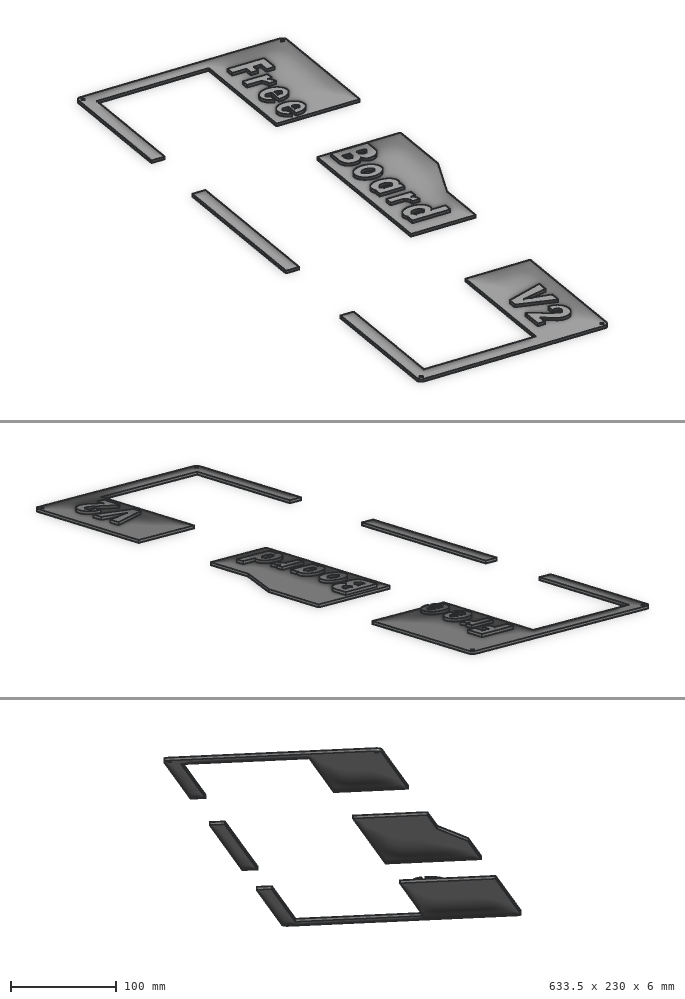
import cadquery as cq

FRAME_LENGTH = 633.54
FRAME_WIDTH = 230.0
PLATE_THICKNESS = 3.0
LETTER_HEIGHT = 3.0

LEFT_LENGTH = 139.5
MIDDLE_START = 214.5
MIDDLE_LENGTH = 173.0
MIDDLE_END = MIDDLE_START + MIDDLE_LENGTH
RIGHT_START = 488.0

FRONT_RAIL_WIDTH = 14.5
WINDOW_BACK = 138.0
LEFT_ARM_WIDTH = 14.5
RIGHT_ARM_WIDTH = 16.0

LOW_BACK = 209.5
SLOPE_START = 284.0
SLOPE_END = 335.0

CORNER_RADIUS = 5.0
HOLE_DIAMETER = 3.4
HOLE_INSET = 5.0

BASELINE_Y = 149.7
CAP_HEIGHT = 40.5
LOWER_CASE_HEIGHT = 27.5
STEM_WIDTH = 9.0
THIN_STEM_WIDTH = 8.0
ASCENDER_HEIGHT = 42.0
R_WIDTH = 16.0
F_WIDTH = 19.5

FREE_STARTS = (29.5, 57.7, 81.2, 112.8)
BOARD_STARTS = (220.0, 255.0, 287.0, 322.3, 346.0)
V2_STARTS = (537.0, 579.0)

ROUND_CENTER_Y = 13.3
ROUND_HALF_HEIGHT = 14.9
ROUND_HALF_WIDTH = 11.6
BOWL_HALF_WIDTH = 10.5
COUNTER_HALF_WIDTH = 4.2
COUNTER_HALF_HEIGHT = 6.8
BOWL_COUNTER_X = 12.0
BOWL_STEM_X = 15.5


def block(x_start, x_end, y_start, y_end, height):
    """Box standing on Z = 0."""
    return cq.Workplane("XY").box(
        x_end - x_start, y_end - y_start, height, centered=False
    ).translate((x_start, y_start, 0))


def oval(center_x, center_y, half_width, half_height):
    """Elliptical block of letter height."""
    return (
        cq.Workplane("XY").center(center_x, center_y)
        .ellipse(half_width, half_height).extrude(LETTER_HEIGHT)
    )


def letter_f():
    outline = [
        (0, 0), (STEM_WIDTH, 0), (STEM_WIDTH, 15.5), (17.5, 15.5), (17.5, 23.5), (STEM_WIDTH, 23.5),
        (STEM_WIDTH, 31.5), (F_WIDTH, 31.5), (F_WIDTH, CAP_HEIGHT), (0, CAP_HEIGHT),
    ]
    return cq.Workplane("XY").polyline(outline).close().extrude(LETTER_HEIGHT)


def letter_r():
    return (
        cq.Workplane("XY").lineTo(THIN_STEM_WIDTH, 0).lineTo(THIN_STEM_WIDTH, 15)
        .threePointArc((11, 18.2), (R_WIDTH, 19))
        .lineTo(R_WIDTH, LOWER_CASE_HEIGHT)
        .threePointArc((11.5, 26), (THIN_STEM_WIDTH, 23))
        .lineTo(THIN_STEM_WIDTH, LOWER_CASE_HEIGHT).lineTo(0, LOWER_CASE_HEIGHT)
        .close().extrude(LETTER_HEIGHT)
    )


def letter_e():
    eye = (
        cq.Workplane("XY").moveTo(9, 15.5).lineTo(15.2, 15.5).lineTo(15.2, 18.5)
        .threePointArc((12.1, 22), (9, 18.5)).close().extrude(LETTER_HEIGHT)
    )
    mouth = (
        cq.Workplane("XY").moveTo(9, 12).lineTo(9, 7)
        .threePointArc((12, 4), (15, 8)).lineTo(26, 8).lineTo(26, 12)
        .close().extrude(LETTER_HEIGHT)
    )
    body = oval(ROUND_HALF_WIDTH, ROUND_CENTER_Y, ROUND_HALF_WIDTH, ROUND_HALF_HEIGHT)
    return body.cut(eye).cut(mouth)


def letter_b():
    body = (
        cq.Workplane("XY").lineTo(15, 0)
        .threePointArc((23, 3), (26, 11)).threePointArc((24.8, 17), (20.5, 20.7))
        .threePointArc((24.6, 24), (26, 29.5)).threePointArc((22, 37.5), (12, CAP_HEIGHT))
        .lineTo(0, CAP_HEIGHT).close().extrude(LETTER_HEIGHT)
    )
    upper_counter = (
        cq.Workplane("XY").moveTo(STEM_WIDTH, 23.5).threePointArc((16, 28), (STEM_WIDTH, 32))
        .close().extrude(LETTER_HEIGHT)
    )
    lower_counter = (
        cq.Workplane("XY").moveTo(STEM_WIDTH, 7.5).lineTo(13, 7.5)
        .threePointArc((17.5, 11.5), (13, 15.5)).lineTo(STEM_WIDTH, 15.5)
        .close().extrude(LETTER_HEIGHT)
    )
    return body.cut(upper_counter).cut(lower_counter)


def letter_o():
    body = oval(ROUND_HALF_WIDTH, ROUND_CENTER_Y, ROUND_HALF_WIDTH, ROUND_HALF_HEIGHT)
    return body.cut(oval(ROUND_HALF_WIDTH, ROUND_CENTER_Y, COUNTER_HALF_WIDTH, COUNTER_HALF_HEIGHT))


def bowl_with_stem(stem_width, stem_height):
    """Round bowl with an upright stem on its right, as in a and d."""
    bowl = oval(BOWL_HALF_WIDTH, ROUND_CENTER_Y, BOWL_HALF_WIDTH, ROUND_HALF_HEIGHT)
    counter = oval(BOWL_COUNTER_X, ROUND_CENTER_Y, COUNTER_HALF_WIDTH, COUNTER_HALF_HEIGHT)
    stem = block(BOWL_STEM_X, BOWL_STEM_X + stem_width, 0, stem_height, LETTER_HEIGHT)
    return bowl.cut(counter).union(stem)


def letter_a():
    return bowl_with_stem(THIN_STEM_WIDTH, LOWER_CASE_HEIGHT)


def letter_d():
    return bowl_with_stem(STEM_WIDTH, ASCENDER_HEIGHT)


def letter_v():
    outline = [
        (13, 0), (22.5, 0), (35, CAP_HEIGHT), (24, CAP_HEIGHT),
        (17.7, 13), (11.5, CAP_HEIGHT), (0, CAP_HEIGHT),
    ]
    return cq.Workplane("XY").polyline(outline).close().extrude(LETTER_HEIGHT)


def digit_two():
    return (
        cq.Workplane("XY").lineTo(23, 0).lineTo(23, 8).lineTo(14, 8).lineTo(22, 20)
        .threePointArc((24.8, 29), (21.5, 37)).threePointArc((12.5, CAP_HEIGHT), (3.5, 36.5))
        .threePointArc((0.5, 31), (0, 25)).lineTo(9.5, 25)
        .threePointArc((12.5, 33), (15.5, 29)).lineTo(13, 22).lineTo(0, 2)
        .close().extrude(LETTER_HEIGHT)
    )


def place_word(letters, starts):
    """Stand each letter on top of the plate, at its own place along the baseline."""
    return [letter.translate((x, BASELINE_Y, PLATE_THICKNESS)) for letter, x in zip(letters, starts)]


def corner_holes(plate, x, back):
    """Screw holes in the front and back corners of an end frame."""
    return (
        plate.faces(">Z").workplane(origin=(0, 0, 0))
        .pushPoints([(x, HOLE_INSET), (x, back - HOLE_INSET)]).hole(HOLE_DIAMETER)
    )


def left_frame():
    """C-shaped left end with the raised letters "Free"."""
    plate = block(0, LEFT_LENGTH, 0, FRAME_WIDTH, PLATE_THICKNESS)
    plate = plate.edges("|Z and <X").fillet(CORNER_RADIUS)
    plate = plate.cut(block(LEFT_ARM_WIDTH, LEFT_LENGTH, FRONT_RAIL_WIDTH, WINDOW_BACK, PLATE_THICKNESS))
    plate = corner_holes(plate, HOLE_INSET, FRAME_WIDTH)
    for letter in place_word([letter_f(), letter_r(), letter_e(), letter_e()], FREE_STARTS):
        plate = plate.union(letter)
    return plate


def right_frame():
    """C-shaped right end with the raised letters "V2"."""
    plate = block(RIGHT_START, FRAME_LENGTH, 0, LOW_BACK, PLATE_THICKNESS)
    plate = plate.edges("|Z and >X").fillet(CORNER_RADIUS)
    window_end = FRAME_LENGTH - RIGHT_ARM_WIDTH
    plate = plate.cut(block(RIGHT_START, window_end, FRONT_RAIL_WIDTH, WINDOW_BACK, PLATE_THICKNESS))
    plate = corner_holes(plate, FRAME_LENGTH - HOLE_INSET, LOW_BACK)
    for letter in place_word([letter_v(), digit_two()], V2_STARTS):
        plate = plate.union(letter)
    return plate


def middle_panel():
    outline = [
        (MIDDLE_START, WINDOW_BACK), (MIDDLE_END, WINDOW_BACK), (MIDDLE_END, LOW_BACK),
        (SLOPE_END, LOW_BACK), (SLOPE_START, FRAME_WIDTH), (MIDDLE_START, FRAME_WIDTH),
    ]
    return cq.Workplane("XY").polyline(outline).close().extrude(PLATE_THICKNESS)


def middle_rail():
    return block(MIDDLE_START, MIDDLE_END, 0, FRONT_RAIL_WIDTH, PLATE_THICKNESS)


def board_letters():
    """Loose letters that rest on the middle panel."""
    return place_word([letter_b(), letter_o(), letter_a(), letter_r(), letter_d()], BOARD_STARTS)


result = cq.Compound.makeCompound([
    left_frame().val(),
    middle_panel().val(),
    middle_rail().val(),
    right_frame().val(),
    *[letter.val() for letter in board_letters()],
])